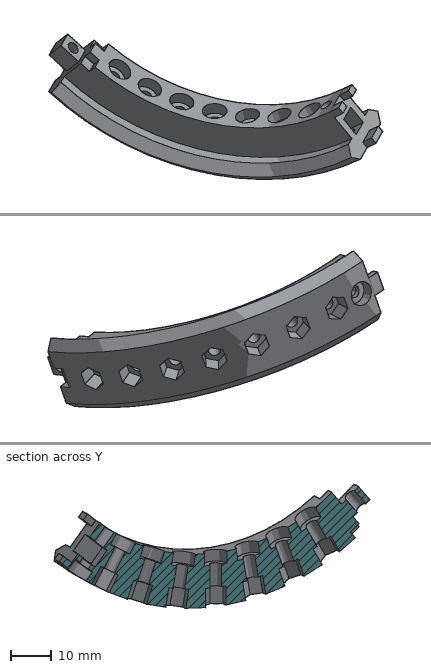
import cadquery as cq
import math

overall_length = 86.2
half_angle = 40.0

outer_radius = 64.0
inner_radius = 50.0
flange_width = 20.0
rib_width = 10.0
flange_thickness = 5.0
bevel = flange_thickness / 2
flange_radius = outer_radius - flange_thickness

screw_count = 7
screw_spacing = 10.0
screw_diameter = 3.1
counterbore_diameter = 6.0
counterbore_depth = 3.0
nut_across_corners = 6.4
nut_depth = flange_thickness

clearance = 0.2
hook_length = 3.0
hook_thickness = 1.8
hook_slot_thickness = hook_thickness + 2 * clearance
prong_width = 2.8
prong_notch_width = prong_width + 2 * clearance
tab_width = 5.1
tab_slot_width = tab_width + 2 * clearance
tongue_width = 5.0
tongue_inner_radius = 54.4
tongue_outer_radius = 59.3
mortise_width = tongue_width + clearance
mortise_outer_radius = tongue_outer_radius + clearance

end_sine = math.sin(math.radians(half_angle))
end_cosine = math.cos(math.radians(half_angle))
tab_reach = outer_radius * end_sine + hook_length * end_cosine
tongue_length = (overall_length - tab_reach - tongue_outer_radius * end_sine) / end_cosine
mortise_depth = tongue_length + clearance

pin_diameter = 3.0
pin_inset = tongue_length / 2
pin_draw = 0.4
pin_recess_diameter = counterbore_diameter
pin_recess_depth = counterbore_depth

LEFT = -1
RIGHT = 1


def swing(body, angle):
    """Turn a body about the arc axis, from the lowest point towards +X."""
    return body.rotate((0, 0, 0), (0, 1, 0), -angle)


def end_block(side, radii, along, width, y_centre=0.0):
    """Box at one end, between two radii and two distances along from the end face."""
    radius_from, radius_to = radii
    along_from, along_to = along
    block = cq.Workplane("XY").box(along_to - along_from, width, radius_to - radius_from)
    block = block.translate((side * (along_from + along_to) / 2, y_centre, -(radius_from + radius_to) / 2))
    return swing(block, side * half_angle)


def radial_prism(sketch, radius_from, radius_to):
    """Extrude a sketch drawn on the XY plane downwards between two radii."""
    return sketch.extrude(radius_from - radius_to).translate((0, 0, -radius_from))


def round_cutter(diameter, radius_from, radius_to):
    return radial_prism(cq.Workplane("XY").circle(diameter / 2), radius_from, radius_to)


def arc_body():
    rib_y = rib_width / 2
    edge_y = flange_width / 2
    half_profile = [
        (rib_y, -inner_radius),
        (rib_y, -flange_radius),
        (edge_y - bevel, -flange_radius),
        (edge_y, -flange_radius - bevel),
        (edge_y - bevel, -outer_radius),
    ]
    mirrored = [(-y, z) for y, z in reversed(half_profile)]
    profile = cq.Workplane("YZ").polyline(half_profile + mirrored).close()
    body = profile.revolve(2 * half_angle, (0, 0), (1, 0))
    middle = body.val().Center()
    return swing(body, -math.degrees(math.atan2(middle.x, -middle.z)))


def screw_hole():
    """Cutter for one screw hole at the lowest point of the arc."""
    counterbore_floor = inner_radius + counterbore_depth
    nut_floor = outer_radius - nut_depth
    cutter_end = outer_radius + nut_depth
    bore = round_cutter(screw_diameter, 0, cutter_end)
    counterbore = round_cutter(counterbore_diameter, 0, counterbore_floor)
    nut = radial_prism(cq.Workplane("XY").polygon(6, nut_across_corners), nut_floor, cutter_end)
    nut = nut.rotate((0, 0, 0), (0, 0, 1), 90)
    return bore.union(counterbore).union(nut)


def pin_hole(side, along, diameter, radius_from):
    """Cutter for a hole parallel to an end face, from a radius outwards through everything."""
    pin = round_cutter(diameter, radius_from, 2 * outer_radius)
    return swing(pin.translate((side * along, 0, 0)), side * half_angle)


def cut_screw_holes(body):
    cutter = screw_hole()
    for index in range(screw_count):
        angle = (index - (screw_count - 1) / 2) * screw_spacing
        body = body.cut(swing(cutter, angle))
    return body


def add_left_joint(body):
    """Tongue with a pin hole, two notches for the prongs and a slot for the tab."""
    tongue_radii = (tongue_inner_radius, tongue_outer_radius)
    body = body.union(end_block(LEFT, tongue_radii, (-hook_length, tongue_length), tongue_width))
    body = body.cut(pin_hole(LEFT, pin_inset, pin_diameter, 0))
    notch_radii = (inner_radius - hook_slot_thickness, inner_radius + hook_slot_thickness)
    for y_sign in (-1, 1):
        notch_y = y_sign * (rib_width - prong_notch_width) / 2
        body = body.cut(end_block(LEFT, notch_radii, (-hook_length, 0), prong_notch_width, notch_y))
    slot_radii = (outer_radius - hook_slot_thickness, outer_radius + hook_slot_thickness)
    return body.cut(end_block(LEFT, slot_radii, (-hook_length, 0), tab_slot_width))


def add_right_joint(body):
    """Mortise with a recessed pin hole, two prongs on the rib and a tab on the flange."""
    mortise_radii = (tongue_inner_radius, mortise_outer_radius)
    body = body.cut(end_block(RIGHT, mortise_radii, (-mortise_depth, 0), mortise_width))
    pin_along = -(pin_inset + pin_draw)
    body = body.cut(pin_hole(RIGHT, pin_along, pin_diameter, 0))
    body = body.cut(pin_hole(RIGHT, pin_along, pin_recess_diameter, outer_radius - pin_recess_depth))
    prong_radii = (inner_radius, inner_radius + hook_thickness)
    for y_sign in (-1, 1):
        prong_y = y_sign * (rib_width - prong_width) / 2
        body = body.union(end_block(RIGHT, prong_radii, (0, hook_length), prong_width, prong_y))
    tab_radii = (outer_radius - hook_thickness, outer_radius)
    return body.union(end_block(RIGHT, tab_radii, (0, hook_length), tab_width))


result = add_right_joint(add_left_joint(cut_screw_holes(arc_body())))